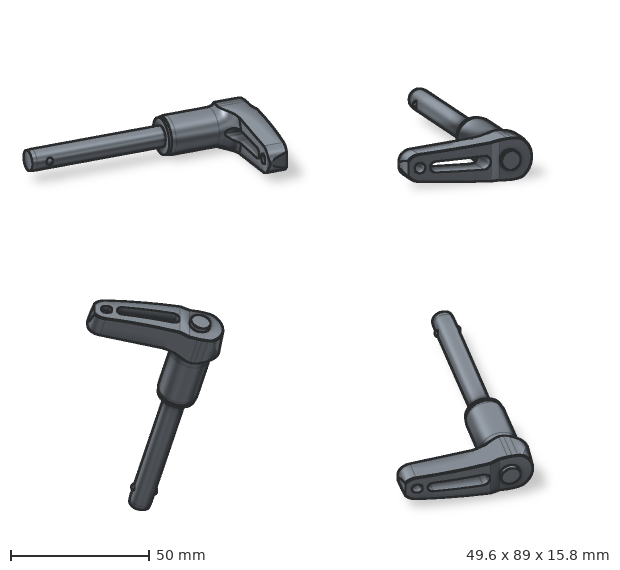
import cadquery as cq
import math


overall_length = 89.0

pin_radius = 4.0
pin_length = 53.2
tip_taper_length = 1.9
tip_radius = 3.8
ball_radius = 1.4
ball_offset = 3.4
ball_from_tip = 6.85

sleeve_radius = 7.4
collar_radius = 6.9
collar_length = 1.1
sleeve_taper_radius = 7.1
sleeve_taper_end = 2.7
flare_start = 19.85
flare_radius = 6.0
flare_cap = 1.3

button_radius = 3.7
button_top = overall_length - pin_length
button_face_radius = 3.65
button_bevel_height = 0.4

head_radius = 7.9
head_left = -9.9
head_arc_x = head_left + head_radius
back_arc_end_x = -3.1
back_arc_end_z = 7.7
flat_start_x = -1.0
shoulder_x = 0.7
tip_arc_radius = 5.25
handle_right = 39.8
tip_arc_x = handle_right - tip_arc_radius

head_top = 34.0
ramp_start_x = 3.8
arm_start_x = 7.6
arm_start_top = 35.1
arm_mid_x = 23.1
arm_mid_top = 34.3
arm_end_x = 38.8
arm_end_top = 32.2
arm_bottom_right = 40.0
arm_end_bottom = 24.4
end_corner_radius = 0.9
top_edge_chamfer = 0.3
trim_margin = 0.9

back_cone_x = -0.22
back_cone_top_radius = 8.68
back_cone_slope = 0.1

slot_wide_x = 10.3
slot_wide_radius = 2.6
slot_narrow_x = 28.7
slot_narrow_radius = 2.05
eye_radius = 2.0

flare_outer = sleeve_radius + flare_radius
flare_top = flare_start + flare_radius


def along_y():
    """Workplane at Y = 0 across the pin axis, extruding toward +Y; its local y is -Z."""
    plane = cq.Plane(origin=(0, 0, 0), xDir=(1, 0, 0), normal=(0, 1, 0))
    return cq.Workplane(plane)


def handle_planform():
    """Teardrop prism that bounds the head and arm; it is symmetric about Z = 0."""
    tip_angle = math.atan2(head_radius - tip_arc_radius, tip_arc_x - shoulder_x)
    tangent_x = tip_arc_x + tip_arc_radius * math.sin(tip_angle)
    tangent_z = tip_arc_radius * math.cos(tip_angle)
    return (
        along_y()
        .moveTo(back_arc_end_x, back_arc_end_z)
        .lineTo(flat_start_x, head_radius)
        .lineTo(shoulder_x, head_radius)
        .lineTo(tangent_x, tangent_z)
        .threePointArc((handle_right, 0), (tangent_x, -tangent_z))
        .lineTo(shoulder_x, -head_radius)
        .lineTo(flat_start_x, -head_radius)
        .lineTo(back_arc_end_x, -back_arc_end_z)
        .threePointArc((head_left, 0), (back_arc_end_x, back_arc_end_z))
        .close()
        .extrude(button_top)
    )


def handle_side_profile():
    """Head and arm profile in the XY plane, wider in Z than the planform."""
    slope = (arm_end_bottom - flare_top) / (arm_bottom_right - flare_outer)
    bottom_left = flare_top + slope * (head_left - flare_outer)
    return (
        cq.Workplane("XY")
        .moveTo(head_left, bottom_left)
        .lineTo(head_left, head_top)
        .lineTo(ramp_start_x, head_top)
        .lineTo(arm_start_x, arm_start_top)
        .threePointArc((arm_mid_x, arm_mid_top), (arm_end_x, arm_end_top))
        .lineTo(arm_bottom_right, arm_end_bottom)
        .close()
        .extrude(head_radius + trim_margin, both=True)
        .edges("|Z and >X")
        .fillet(end_corner_radius)
    )


def flare():
    """Concave flare that carries the round sleeve up into the handle."""
    arc_drop = flare_radius * math.sqrt(0.5)
    return (
        cq.Workplane("XY")
        .moveTo(0, flare_start)
        .lineTo(sleeve_radius, flare_start)
        .threePointArc((flare_outer - arc_drop, flare_start + arc_drop), (flare_outer, flare_top))
        .lineTo(flare_outer, flare_top + flare_cap)
        .lineTo(0, flare_top + flare_cap)
        .close()
        .revolve(360, (0, 0), (0, 1))
    )


def back_envelope():
    """Cone that slopes the back of the head, joined to a block that spares the arm."""
    base_radius = back_cone_top_radius + back_cone_slope * head_top
    cone = (
        cq.Workplane("XY")
        .polyline([(0, 0), (base_radius, 0), (back_cone_top_radius, head_top), (0, head_top)])
        .close()
        .revolve(360, (0, 0), (0, 1))
        .translate((back_cone_x, 0, 0))
    )
    length = handle_right + trim_margin - head_arc_x
    depth = 2 * (head_radius + trim_margin)
    block = cq.Workplane("XY").box(length, button_top, depth, centered=(False, False, True))
    return cone.union(block.translate((head_arc_x, 0, 0)))


def slot():
    """Tapered round-ended slot through the arm."""
    angle = math.asin((slot_wide_radius - slot_narrow_radius) / (slot_narrow_x - slot_wide_x))

    def tangent_point(center_x, radius):
        return center_x + radius * math.sin(angle), radius * math.cos(angle)

    wide_x, wide_z = tangent_point(slot_wide_x, slot_wide_radius)
    narrow_x, narrow_z = tangent_point(slot_narrow_x, slot_narrow_radius)
    return (
        along_y()
        .moveTo(wide_x, wide_z)
        .lineTo(narrow_x, narrow_z)
        .threePointArc((slot_narrow_x + slot_narrow_radius, 0), (narrow_x, -narrow_z))
        .lineTo(wide_x, -wide_z)
        .threePointArc((slot_wide_x - slot_wide_radius, 0), (wide_x, wide_z))
        .close()
        .extrude(button_top)
    )


def handle():
    body = handle_side_profile().union(flare())
    body = body.intersect(handle_planform()).intersect(back_envelope())
    ramp_x = (ramp_start_x + arm_start_x) / 2
    ramp_y = (head_top + arm_start_top) / 2
    ramp = cq.selectors.NearestToPointSelector((ramp_x, ramp_y, 0))
    arm_top = cq.selectors.NearestToPointSelector((arm_mid_x, arm_mid_top, 0))
    head_face = cq.selectors.NearestToPointSelector((0, head_top, 0))
    body = body.faces(ramp + arm_top + head_face).edges("not |Z").chamfer(top_edge_chamfer)
    eye = along_y().center(tip_arc_x, 0).circle(eye_radius).extrude(button_top)
    return body.cut(slot()).cut(eye)


def turned_core():
    """Pin, sleeve and button, all round about the pin axis."""
    profile = [
        (0, -pin_length),
        (tip_radius, -pin_length),
        (pin_radius, -pin_length + tip_taper_length),
        (pin_radius, 0),
        (collar_radius, 0),
        (collar_radius, collar_length),
        (sleeve_taper_radius, collar_length),
        (sleeve_radius, sleeve_taper_end),
        (sleeve_radius, flare_start),
        (button_radius, flare_start),
        (button_radius, button_top - button_bevel_height),
        (button_face_radius, button_top),
        (0, button_top),
    ]
    return cq.Workplane("XY").polyline(profile).close().revolve(360, (0, 0), (0, 1))


result = handle().union(turned_core())
for side in (-1, 1):
    ball = cq.Workplane("XY").sphere(ball_radius)
    result = result.union(ball.translate((side * ball_offset, ball_from_tip - pin_length, 0)))